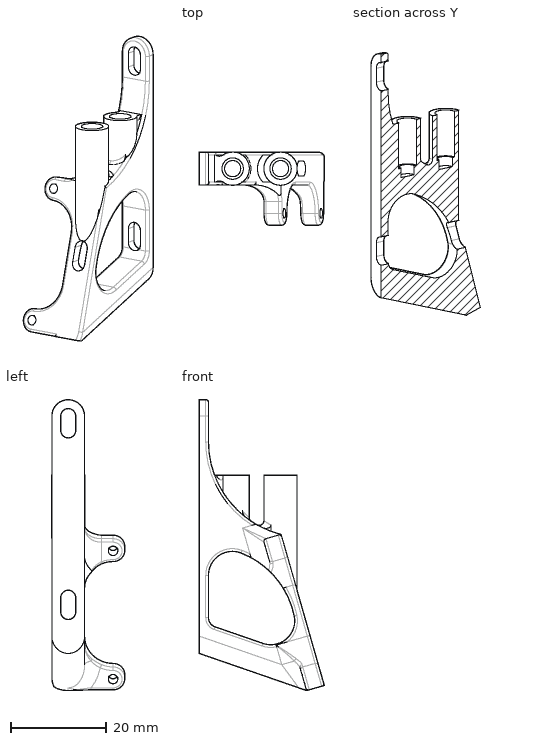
import math

import cadquery as cq

HEIGHT = 61.06
HALF_WIDTH = 3.45
PLATE_THICKNESS = 2.0
EDGE_ROUND = 0.6
PLATE_BOTTOM_Z = 7.8
RAIL_END_X = 22.56
STRUT_TILT = math.radians(16)
TOP_CURVE_START_Z = 52.2
TOP_CURVE_RADIUS = 20.0

ARM_THICKNESS = 3.9
ARM_WIDTH = 5.0
ARM_SPACING = 28.0
ARM_TIP_RADIUS = ARM_WIDTH / 2
ARM_HOLE_Y = -9.4
ARM_HOLE_DIAMETER = 2.0
LONG_FLARE = -ARM_HOLE_Y - HALF_WIDTH
SHORT_FLARE = 3.5

UPPER_CORNER_RADIUS = 5.0
UPPER_CORNER_Z = 24.2
LOWER_CORNER_RADIUS = 5.0
LOWER_CORNER_X = 15.05
RAIL_HEIGHT = 6.4
WINDOW_CURVE_RADIUS = 18.0
HEEL_RADIUS = 2.0

TUBE_DIAMETER = 7.0
TUBE_TOP_Z = 45.2
TUBE_X = (7.05, 17.1)
TUBE_FOOT_Z = 20.5
FOOT_FILLET = 1.0
FOOT_HALF_WIDTH = HALF_WIDTH - EDGE_ROUND
BORE_DIAMETER = 4.5
BORE_DEPTH = 10.0
PILOT_DIAMETER = 3.4
PILOT_DEPTH = 12.0

SLOT_WIDTH = 3.1
SLOT_LENGTH = 6.1
SLOT_Z = (18.0, 56.1)

COS_TILT = math.cos(STRUT_TILT)
SIN_TILT = math.sin(STRUT_TILT)
V_DIR = cq.Vector(COS_TILT, 0, SIN_TILT)
U_DIR = cq.Vector(-SIN_TILT, 0, COS_TILT)
Y_DIR = cq.Vector(0, 1, 0)
RAIL_DIR = cq.Vector(RAIL_END_X, 0, -PLATE_BOTTOM_Z).normalized()
RAIL_NORMAL = cq.Vector(-RAIL_DIR.z, 0, RAIL_DIR.x)
RAIL_START = cq.Vector(0, 0, PLATE_BOTTOM_Z)
STRUT_FOOT = cq.Vector(RAIL_END_X, 0, 0) + V_DIR * ARM_THICKNESS
STRUT_TOP = STRUT_FOOT + U_DIR * (ARM_SPACING + ARM_WIDTH)

OVERSIZE = 80.0
TOLERANCE = 1e-4


def xz(vector):
    """Coordinates of a point in the XZ plane."""
    return (vector.x, vector.z)


def outline(half_depth):
    """Prism with the side outline of the frame and arms, centred on Y = 0."""
    return (
        cq.Workplane("XZ")
        .moveTo(0, PLATE_BOTTOM_Z)
        .lineTo(RAIL_END_X, 0)
        .lineTo(*xz(STRUT_FOOT))
        .lineTo(*xz(STRUT_TOP))
        .radiusArc((PLATE_THICKNESS, TOP_CURVE_START_Z), TOP_CURVE_RADIUS)
        .lineTo(PLATE_THICKNESS, HEIGHT)
        .lineTo(0, HEIGHT)
        .close()
        .extrude(half_depth, both=True)
    )


def window():
    """Window with three round corners and a long curve joining the two large ones."""
    upper = cq.Vector(PLATE_THICKNESS + UPPER_CORNER_RADIUS, 0, UPPER_CORNER_Z)
    rail_top = RAIL_START + RAIL_NORMAL * RAIL_HEIGHT
    slope = RAIL_DIR.z / RAIL_DIR.x

    def above_rail(x, distance):
        return rail_top.z + (x - rail_top.x) * slope + distance / RAIL_DIR.x

    lower = cq.Vector(LOWER_CORNER_X, 0, above_rail(LOWER_CORNER_X, LOWER_CORNER_RADIUS))
    heel_x = PLATE_THICKNESS + HEEL_RADIUS
    heel = cq.Vector(heel_x, 0, above_rail(heel_x, HEEL_RADIUS))

    chord = lower - upper
    inward = cq.Vector(chord.z, 0, -chord.x).normalized()
    half_chord = chord.Length / 2
    reach = math.sqrt((WINDOW_CURVE_RADIUS - UPPER_CORNER_RADIUS) ** 2 - half_chord**2)
    middle = upper + chord.normalized() * half_chord
    center = middle + inward * reach
    upper_end = center + (upper - center).normalized() * WINDOW_CURVE_RADIUS
    lower_end = center + (lower - center).normalized() * WINDOW_CURVE_RADIUS
    crown = center - inward * WINDOW_CURVE_RADIUS

    up = cq.Vector(0, 0, 1)
    right = cq.Vector(1, 0, 0)
    upper_mid = upper + (up - right).normalized() * UPPER_CORNER_RADIUS
    lower_mid = lower + (right - up).normalized() * LOWER_CORNER_RADIUS
    heel_mid = heel - (right + RAIL_NORMAL).normalized() * HEEL_RADIUS
    return (
        cq.Workplane("XZ")
        .moveTo(PLATE_THICKNESS, heel.z)
        .lineTo(PLATE_THICKNESS, upper.z)
        .threePointArc(xz(upper_mid), xz(upper_end))
        .threePointArc(xz(crown), xz(lower_end))
        .threePointArc(xz(lower_mid), xz(lower - RAIL_NORMAL * LOWER_CORNER_RADIUS))
        .lineTo(*xz(heel - RAIL_NORMAL * HEEL_RADIUS))
        .threePointArc(xz(heel_mid), (PLATE_THICKNESS, heel.z))
        .close()
        .extrude(OVERSIZE, both=True)
    )


def round_rail():
    """Endless upright slab along the rail, with a fully rounded underside."""
    far_end = RAIL_START - RAIL_DIR * OVERSIZE
    return (
        cq.Workplane(cq.Plane(far_end, xDir=Y_DIR, normal=RAIL_DIR))
        .center(0, OVERSIZE)
        .slot2D(2 * OVERSIZE, 2 * HALF_WIDTH, 90)
        .extrude(2 * OVERSIZE)
    )


def blended_arm_slab():
    """Endless slab as thick as an arm, filleted where its far face meets the frame and its round rail."""
    slab = (
        cq.Workplane(cq.Plane(STRUT_FOOT, xDir=Y_DIR, normal=V_DIR))
        .rect(OVERSIZE / 2, OVERSIZE)
        .extrude(-ARM_THICKNESS)
    )
    joined = slab.union(round_rail())
    seam = [edge for edge in joined.edges().vals() if is_far_face_seam(edge)]
    return joined.newObject(seam).fillet(SHORT_FLARE)


def is_far_face_seam(edge):
    """True for the edges where the far face of the arm slab meets the frame and its round rail."""
    box = edge.BoundingBox()
    near_frame = max(-box.ymin, box.ymax) < HALF_WIDTH + TOLERANCE
    points = (edge.startPoint(), edge.positionAt(0.5), edge.endPoint())
    on_far_face = all(abs((p - STRUT_FOOT).dot(V_DIR) + ARM_THICKNESS) < TOLERANCE for p in points)
    return near_frame and on_far_face


def make_frame():
    """Flat frame with its window, its plate rounded at the top and its rail rounded underneath."""
    round_top = (
        cq.Workplane("YZ")
        .center(0, HEIGHT - OVERSIZE / 2)
        .slot2D(OVERSIZE, 2 * HALF_WIDTH, 90)
        .extrude(OVERSIZE)
    )
    frame = outline(HALF_WIDTH).intersect(round_top).intersect(round_rail()).cut(window())
    rounded = [edge for edge in frame.edges().vals() if is_rounded(edge)]
    return frame.newObject(rounded).fillet(EDGE_ROUND)


def is_rounded(edge):
    """True for the front and back edges of the frame and the window, and the plate's front end edge."""
    middle = edge.positionAt(0.5)
    box = edge.BoundingBox()
    if box.ylen > TOLERANCE:
        on_plate_front = abs(middle.x - PLATE_THICKNESS) < TOLERANCE and box.xlen < TOLERANCE
        return on_plate_front and middle.z > HEIGHT - HALF_WIDTH
    on_flat_side = abs(abs(middle.y) - HALF_WIDTH) < TOLERANCE
    on_back_face = abs(middle.x) < TOLERANCE
    height_over_rail = (middle - RAIL_START).dot(RAIL_NORMAL)
    on_rail_seam = abs(height_over_rail - HALF_WIDTH) < TOLERANCE
    on_plate_end_seam = box.zlen < TOLERANCE
    return on_flat_side and not (on_back_face or on_rail_seam or on_plate_end_seam)


def make_arm(distance_up, has_lower_flare, upper_flare):
    """Hinge arm with a round tip, flared where it leaves the frame."""
    origin = STRUT_FOOT + U_DIR * distance_up
    root_y = -HALF_WIDTH
    depth = ARM_THICKNESS + SHORT_FLARE
    tip_y = ARM_HOLE_Y - ARM_TIP_RADIUS

    side = cq.Workplane(cq.Plane(origin, xDir=Y_DIR, normal=V_DIR))
    if has_lower_flare:
        side = (
            side.moveTo(0, -LONG_FLARE)
            .lineTo(root_y, -LONG_FLARE)
            .radiusArc((root_y - LONG_FLARE, 0), -LONG_FLARE)
        )
    else:
        side = side.moveTo(0, 0).lineTo(ARM_HOLE_Y, 0)
    side = side.threePointArc((tip_y, ARM_TIP_RADIUS), (ARM_HOLE_Y, ARM_WIDTH))
    if root_y - upper_flare > ARM_HOLE_Y + TOLERANCE:
        side = side.lineTo(root_y - upper_flare, ARM_WIDTH)
    side = (
        side.radiusArc((root_y, ARM_WIDTH + upper_flare), -upper_flare)
        .lineTo(0, ARM_WIDTH + upper_flare)
        .close()
        .extrude(-depth)
    )

    arm = side.intersect(blended_arm_slab()).intersect(outline(OVERSIZE))
    rounded = [edge for edge in arm.edges().vals() if is_arm_rim(edge)]
    arm = arm.newObject(rounded).fillet(EDGE_ROUND)

    hole_start = origin + U_DIR * ARM_TIP_RADIUS + Y_DIR * ARM_HOLE_Y - V_DIR * depth
    hole = cq.Solid.makeCylinder(ARM_HOLE_DIAMETER / 2, 2 * depth, hole_start, V_DIR)
    return arm.cut(cq.Workplane(hole))


def is_arm_rim(edge):
    """True for the edges around the strut-side face and the far face of an arm, outside the frame."""
    box = edge.BoundingBox()
    if box.ymax > -HALF_WIDTH + TOLERANCE or box.ylen < TOLERANCE:
        return False
    v_start = (edge.startPoint() - STRUT_FOOT).dot(V_DIR)
    v_middle = (edge.positionAt(0.5) - STRUT_FOOT).dot(V_DIR)
    lies_flat = abs(v_start - v_middle) < TOLERANCE
    on_either_face = min(abs(v_middle), abs(v_middle + ARM_THICKNESS)) < TOLERANCE
    return lies_flat and on_either_face


def make_ground():
    """Wide block under the plate face and the top curve, reaching past the ends of both."""
    curve_end = (PLATE_THICKNESS + TOP_CURVE_RADIUS, TOP_CURVE_START_Z - TOP_CURVE_RADIUS)
    return (
        cq.Workplane("XZ")
        .moveTo(-OVERSIZE, -OVERSIZE)
        .lineTo(OVERSIZE, -OVERSIZE)
        .lineTo(OVERSIZE, curve_end[1])
        .lineTo(*curve_end)
        .radiusArc((PLATE_THICKNESS, TOP_CURVE_START_Z), TOP_CURVE_RADIUS)
        .lineTo(PLATE_THICKNESS, OVERSIZE)
        .lineTo(-OVERSIZE, OVERSIZE)
        .close()
        .extrude(2 * TUBE_DIAMETER, both=True)
    )


def upright_bar(x, top_z):
    """Solid bar of the tube diameter, from inside the frame up to a given height."""
    return cq.Workplane("XY", origin=(x, 0, TUBE_FOOT_Z)).circle(TUBE_DIAMETER / 2).extrude(top_z - TUBE_FOOT_Z)


def make_foot(x):
    """Fillet between a tube and the top curve, kept to the frame's width and behind the strut face."""
    ground = make_ground()
    joined = ground.union(upright_bar(x, HEIGHT))
    seam = [edge for edge in joined.edges().vals() if edge.geomType() not in ("LINE", "CIRCLE")]
    foot = joined.newObject(seam).fillet(FOOT_FILLET).cut(ground)
    below_tube_top = cq.Workplane().box(OVERSIZE, 2 * FOOT_HALF_WIDTH, 2 * TUBE_TOP_Z)
    behind_strut_face = (
        cq.Workplane(cq.Plane(STRUT_FOOT, xDir=Y_DIR, normal=V_DIR))
        .rect(2 * OVERSIZE, 2 * OVERSIZE)
        .extrude(-OVERSIZE)
    )
    return foot.intersect(below_tube_top).intersect(behind_strut_face)


def make_tube(x):
    """Solid tube on the frame; its outer side runs down past the sloping strut face."""
    return upright_bar(x, TUBE_TOP_Z).cut(outline(OVERSIZE)).union(make_foot(x))


def make_bore(x):
    """Blind stepped bore, entering from the top of a tube."""
    top = cq.Workplane("XY", origin=(x, 0, TUBE_TOP_Z))
    wide = top.circle(BORE_DIAMETER / 2).extrude(-BORE_DEPTH)
    return wide.union(top.circle(PILOT_DIAMETER / 2).extrude(-PILOT_DEPTH))


def make_slot(z):
    """Upright slot running along X through the plate and everything in front of it."""
    return cq.Workplane("YZ").center(0, z).slot2D(SLOT_LENGTH, SLOT_WIDTH, 90).extrude(OVERSIZE)


result = make_frame()
result = result.union(make_arm(0, has_lower_flare=False, upper_flare=LONG_FLARE))
result = result.union(make_arm(ARM_SPACING, has_lower_flare=True, upper_flare=SHORT_FLARE))
for tube_x in TUBE_X:
    result = result.union(make_tube(tube_x))
result = result.cut(window())
for tube_x in TUBE_X:
    result = result.cut(make_bore(tube_x))
for slot_z in SLOT_Z:
    result = result.cut(make_slot(slot_z))